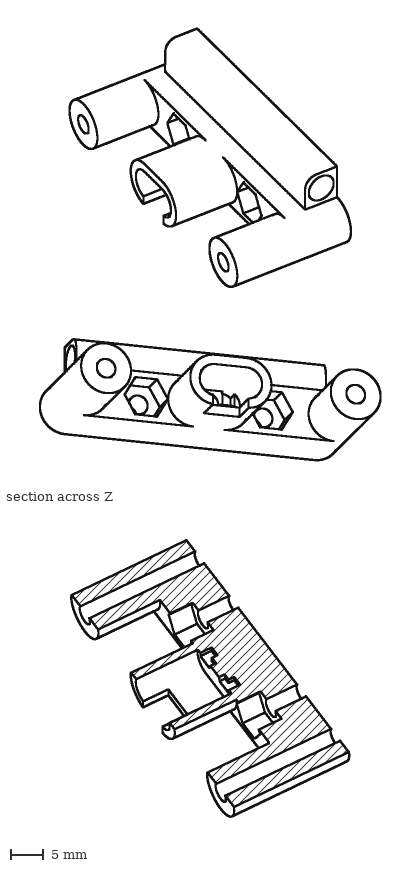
import cadquery as cq
import math

PILLAR_SPACING = 40.0
PILLAR_DIAMETER = 8.0
PILLAR_LENGTH = 20.5
BOLT_HOLE_DIAMETER = 3.0

PLATE_DEPTH = 9.5
PLATE_HEIGHT = PILLAR_DIAMETER
PLATE_TOP = PLATE_HEIGHT / 2

RAIL_DEPTH = 5.75
RAIL_HEIGHT = 6.0
RAIL_EDGE_RADIUS = 2.0
RAIL_BORE_DIAMETER = 4.5
RAIL_BORE_INSET = 2.85

NUT_SPACING = 20.0
NUT_SIDES = 6
NUT_ACROSS_FLATS = 6.0
NUT_ACROSS_CORNERS = NUT_ACROSS_FLATS / math.cos(math.pi / NUT_SIDES)
NUT_POCKET_DEPTH = 4.0

SOCKET_WIDTH = 13.0
SOCKET_HEIGHT = PLATE_HEIGHT
SOCKET_DEPTH = PILLAR_LENGTH - PLATE_DEPTH
SOCKET_WALL = 1.5
CAVITY_WIDTH = SOCKET_WIDTH - 2 * SOCKET_WALL
CAVITY_HEIGHT = SOCKET_HEIGHT - 2 * SOCKET_WALL
CAVITY_DEPTH = SOCKET_DEPTH
SLOT_WIDTH = 5.7
SLOT_DEPTH = 4.5

RECESS_WIDTH = 8.3
RECESS_CENTER_WIDTH = CAVITY_WIDTH - CAVITY_HEIGHT
RECESS_HEIGHT = CAVITY_HEIGHT / 2
RECESS_CENTER_DEPTH = 1.0
RECESS_SIDE_DEPTH = 2.0
HALF_ROUND_DIAMETER = 3.0

FRONT = -PILLAR_LENGTH
PLATE_FRONT = -PLATE_DEPTH
CAVITY_FLOOR = FRONT + CAVITY_DEPTH


def plane_at(y):
    """Sketch plane at the given Y: local x is X, local y is Z, extrusion goes toward -Y."""
    return cq.Workplane("XZ", origin=(0, y, 0))


def mirrored_pair(spacing):
    """Two points on the X axis, placed symmetrically about X = 0."""
    return [(-spacing / 2, 0), (spacing / 2, 0)]


def box_between(width, y_front, y_back, z_bottom, z_top):
    """Box centred on X = 0 between the given Y and Z limits."""
    box = cq.Workplane("XY").box(width, y_back - y_front, z_top - z_bottom, centered=(True, False, False))
    return box.translate((0, y_front, z_bottom))


def make_plate():
    return box_between(PILLAR_SPACING, PLATE_FRONT, 0, -PLATE_TOP, PLATE_TOP)


def make_pillars():
    centers = mirrored_pair(PILLAR_SPACING)
    return plane_at(0).pushPoints(centers).circle(PILLAR_DIAMETER / 2).extrude(PILLAR_LENGTH)


def make_rail():
    rail = box_between(PILLAR_SPACING, -RAIL_DEPTH, 0, 0, PLATE_TOP + RAIL_HEIGHT)
    return rail.edges("|X and <Y and >Z").fillet(RAIL_EDGE_RADIUS)


def make_rail_bore():
    bore = cq.Workplane("YZ").circle(RAIL_BORE_DIAMETER / 2).extrude(PILLAR_SPACING / 2, both=True)
    return bore.translate((0, -RAIL_BORE_INSET, PLATE_TOP + RAIL_HEIGHT / 2))


def make_bolt_holes():
    centers = mirrored_pair(PILLAR_SPACING) + mirrored_pair(NUT_SPACING)
    return plane_at(0).pushPoints(centers).circle(BOLT_HOLE_DIAMETER / 2).extrude(PILLAR_LENGTH)


def make_nut_pockets():
    pockets = plane_at(PLATE_FRONT + NUT_POCKET_DEPTH).pushPoints(mirrored_pair(NUT_SPACING))
    return pockets.polygon(NUT_SIDES, NUT_ACROSS_CORNERS).extrude(NUT_POCKET_DEPTH)


def make_socket():
    return plane_at(PLATE_FRONT).slot2D(SOCKET_WIDTH, SOCKET_HEIGHT).extrude(SOCKET_DEPTH)


def make_cavity():
    return plane_at(CAVITY_FLOOR).slot2D(CAVITY_WIDTH, CAVITY_HEIGHT).extrude(CAVITY_DEPTH)


def make_bottom_slot():
    """Opening through the bottom wall of the socket, from its front."""
    return box_between(SLOT_WIDTH, FRONT, FRONT + SLOT_DEPTH, -SOCKET_HEIGHT / 2, 0)


def make_recess():
    """Shallow center and deeper sides, kept inside the cavity outline, around a half-round boss."""
    center_back = CAVITY_FLOOR + RECESS_CENTER_DEPTH
    side_back = CAVITY_FLOOR + RECESS_SIDE_DEPTH
    recess = box_between(RECESS_WIDTH, CAVITY_FLOOR, side_back, 0, RECESS_HEIGHT)
    center_step = box_between(RECESS_CENTER_WIDTH, center_back, side_back, 0, RECESS_HEIGHT)
    half_round = plane_at(side_back).circle(HALF_ROUND_DIAMETER / 2).extrude(RECESS_SIDE_DEPTH)
    cavity_outline = plane_at(side_back).slot2D(CAVITY_WIDTH, CAVITY_HEIGHT).extrude(RECESS_SIDE_DEPTH)
    return recess.cut(center_step).cut(half_round).intersect(cavity_outline)


body = make_plate().union(make_pillars()).union(make_rail()).union(make_socket())
for cutter in (
    make_rail_bore(),
    make_bolt_holes(),
    make_nut_pockets(),
    make_cavity(),
    make_bottom_slot(),
    make_recess(),
):
    body = body.cut(cutter)

result = body